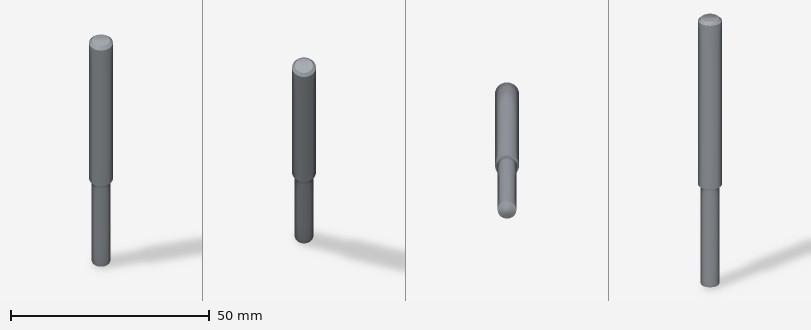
import cadquery as cq
import math

total_length = 75.85
shank_diameter = 6.0
drill_diameter = 4.7
point_angle = 140.0
joint_height = 14.95
shoulder_height = 28.8
chamfer_size = 0.75

drill_radius = drill_diameter / 2
point_height = drill_radius / math.tan(math.radians(point_angle / 2))


def make_cutting_tip():
    """Cylinder with a conical drill point, ending flat at the joint."""
    return (
        cq.Workplane("XZ")
        .moveTo(0, 0)
        .lineTo(drill_radius, point_height)
        .lineTo(drill_radius, joint_height)
        .lineTo(0, joint_height)
        .close()
        .revolve(360, (0, 0), (0, 1))
    )


def make_holder():
    """Neck of the drill's diameter below a thicker shank with a chamfered end."""
    neck = (
        cq.Workplane("XY")
        .workplane(offset=joint_height)
        .circle(drill_radius)
        .extrude(shoulder_height - joint_height)
    )
    shank = (
        cq.Workplane("XY")
        .workplane(offset=shoulder_height)
        .circle(shank_diameter / 2)
        .extrude(total_length - shoulder_height)
        .faces(">Z")
        .chamfer(chamfer_size)
    )
    return neck.union(shank)


cutting_tip = make_cutting_tip()
holder = make_holder()

result = cq.Compound.makeCompound([cutting_tip.val(), holder.val()])